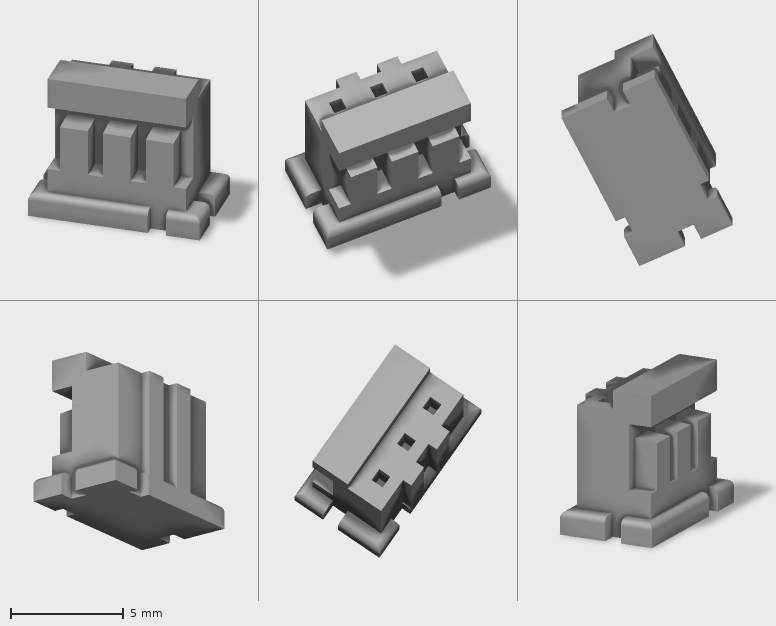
import cadquery as cq

base_length = 8.0
base_width = 4.6
base_height = 1.1
base_fillet = 0.3
base_margin_y = 0.45
total_height = 6.8
body_length = 6.45

pitch = 2.0
pole_count = 3

head_rise = 0.9
head_height = 1.45

recess_floor_z = 2.25
finger_width = 1.3
finger_gap = 0.8
finger_drop = 0.1

side_gap_width = 0.8
side_gap_from_back = 2.25
end_gap_width = 0.85

rib_width = 1.0
hole_size = 0.6
hole_depth = 2.0
hole_y = 1.0

base_back_y = base_width / 2
body_front_y = base_margin_y - base_width / 2
body_back_y = base_back_y - base_margin_y
side_gap_back_y = base_back_y - side_gap_from_back
recess_back_y = side_gap_back_y - side_gap_width
shoulder_z = total_height - head_rise
head_bottom_z = total_height - head_height
finger_top_z = head_bottom_z - finger_gap
pole_xs = [(i - (pole_count - 1) / 2) * pitch for i in range(pole_count)]
rib_xs = [(left + right) / 2 for left, right in zip(pole_xs, pole_xs[1:])]


def block(x_range, y_range, z_range):
    """Box spanning the given (low, high) range along each axis."""
    size = [high - low for low, high in (x_range, y_range, z_range)]
    corner = (x_range[0], y_range[0], z_range[0])
    return cq.Workplane("XY").box(*size, centered=False).translate(corner)


def around(centre, width):
    """(low, high) range of the given width about a centre."""
    return (centre - width / 2, centre + width / 2)


def extrude_profile(points, centre_x, width):
    """Extrude a YZ outline along X, symmetric about centre_x."""
    return (
        cq.Workplane("YZ", origin=(centre_x, 0, 0))
        .polyline(points)
        .close()
        .extrude(width / 2, both=True)
    )


def make_base():
    """Rounded base rim, split by one gap per side and one at the last pole."""
    base = (
        cq.Workplane("XY")
        .box(base_length, base_width, base_height, centered=(True, True, False))
        .faces(">Z")
        .edges()
        .fillet(base_fillet)
    )
    side_gaps = block(around(0, base_length), (recess_back_y, side_gap_back_y), (0, base_height))
    end_gaps = block(around(pole_xs[-1], end_gap_width), around(0, base_width), (0, base_height))
    return base.cut(side_gaps).cut(end_gaps)


def make_body():
    """Housing with the head bar on top and the recess below it."""
    outline = [
        (body_back_y, 0),
        (body_front_y, 0),
        (body_front_y, recess_floor_z),
        (recess_back_y, recess_floor_z),
        (recess_back_y, head_bottom_z),
        (body_front_y, head_bottom_z),
        (body_front_y, total_height),
        (side_gap_back_y, total_height),
        (side_gap_back_y, shoulder_z),
        (body_back_y, shoulder_z),
    ]
    return extrude_profile(outline, 0, body_length)


def make_finger(x):
    """Finger filling the recess depth, its top sloping down to the front."""
    outline = [
        (recess_back_y, recess_floor_z),
        (body_front_y, recess_floor_z),
        (body_front_y, finger_top_z - finger_drop),
        (recess_back_y, finger_top_z),
    ]
    return extrude_profile(outline, x, finger_width)


def make_rib(x):
    """Full-height rib on the back face, flush with the back of the base."""
    return block(around(x, rib_width), (body_back_y, base_back_y), (0, shoulder_z))


def make_hole(x):
    """Square blind contact hole sunk from the shoulder."""
    return block(around(x, hole_size), around(hole_y, hole_size), (shoulder_z - hole_depth, shoulder_z))


result = make_base().union(make_body())
for rib_x in rib_xs:
    result = result.union(make_rib(rib_x))
for pole_x in pole_xs:
    result = result.union(make_finger(pole_x)).cut(make_hole(pole_x))